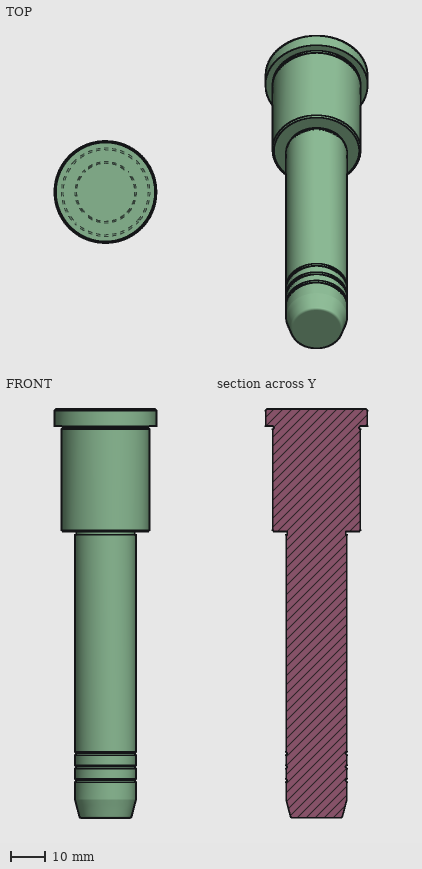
import cadquery as cq

total_length = 120.0
head_diameter = 30.0
head_height = 5.0
sleeve_diameter = 25.9
sleeve_bottom_depth = 36.0
shaft_diameter = 18.0

head_chamfer = 0.5
sleeve_chamfer = 0.5

head_relief_depth = 0.5
shaft_relief_height = 1.0
shaft_relief_depth = 0.4

taper_height = 5.5
tip_diameter = 15.1
tip_fillet = 0.7

groove_count = 3
lowest_groove_height = 11.0
groove_pitch = 4.0
groove_depth = 0.5

head_bottom = total_length - head_height
sleeve_bottom = total_length - sleeve_bottom_depth


def disc(diameter, bottom, top):
    """Cylinder on the Z axis between two heights."""
    return cq.Workplane("XY").workplane(offset=bottom).circle(diameter / 2).extrude(top - bottom)


def ring_groove(diameter, depth, bottom, width):
    """Ring to be cut from a cylinder of the given diameter."""
    return (
        cq.Workplane("XY")
        .workplane(offset=bottom)
        .circle(diameter / 2 + depth)
        .circle(diameter / 2 - depth)
        .extrude(width)
    )


def v_groove(diameter, depth, height):
    """Right-angled V ring to be cut from a cylinder, with its mouth on the surface."""
    surface = diameter / 2
    return (
        cq.Workplane("XZ")
        .moveTo(surface, height + depth)
        .lineTo(surface - depth, height)
        .lineTo(surface, height - depth)
        .close()
        .revolve(360, (0, 0), (0, 1))
    )


head = disc(head_diameter, head_bottom, total_length).faces(">Z").edges().chamfer(head_chamfer)

sleeve = disc(sleeve_diameter, sleeve_bottom, head_bottom).faces("<Z").edges().chamfer(sleeve_chamfer)
sleeve = sleeve.cut(
    v_groove(sleeve_diameter, head_relief_depth, head_bottom - head_relief_depth)
)

tip = (
    cq.Workplane("XY")
    .circle(tip_diameter / 2)
    .workplane(offset=taper_height)
    .circle(shaft_diameter / 2)
    .loft(ruled=True)
    .faces("<Z")
    .edges()
    .fillet(tip_fillet)
)
shaft = disc(shaft_diameter, taper_height, sleeve_bottom).union(tip)

shaft = shaft.cut(
    ring_groove(shaft_diameter, shaft_relief_depth, sleeve_bottom - shaft_relief_height, shaft_relief_height)
)

for index in range(groove_count):
    groove_height = lowest_groove_height + index * groove_pitch
    shaft = shaft.cut(v_groove(shaft_diameter, groove_depth, groove_height))

result = head.union(sleeve).union(shaft)